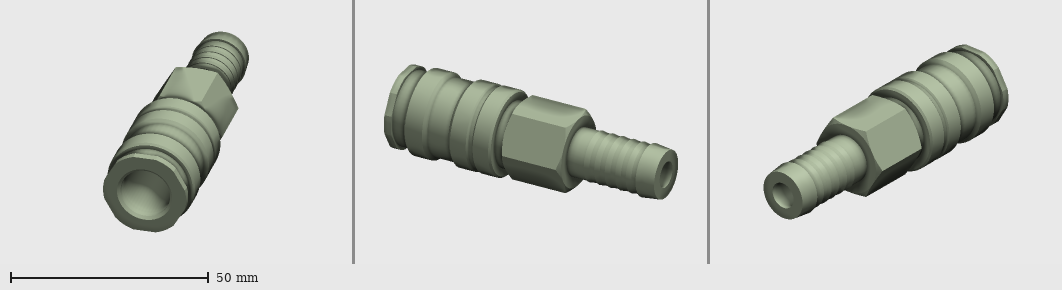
import cadquery as cq
import math


HEX_SIDES = 6

flange_length = 2.0
flange_radius = 10.9
flange_across_flats = 21.0

collar_radius = 10.0
collar_length = 3.85
band_radius = 11.5
band_chamfer = 0.5
waist_radius = 10.5
waist_length = 6.0
groove_radius = 11.0
groove_length = 1.0
front_band_length = 5.4
middle_band_length = 6.0
rear_band_length = 5.4
band_shoulder = band_radius - waist_radius
groove_chamfer = band_radius - groove_radius

neck_radius = 8.9
neck_length = 2.35

hex_across_flats = 19.0
hex_length = 17.0
hex_chamfer_angle = 30.0

tail_length = 25.0
tail_radius = 6.5
tip_barb_length = 5.0
tip_barb_radius = 7.1
ridge_count = 5
ridge_pitch = 3.0
ridge_length = 1.5
ridge_radius = 6.75

through_radius = 3.5
socket_radius = 6.5
socket_depth = 25.0
socket_chamfer = 0.75

collar_end = flange_length + collar_length
front_band_end = collar_end + front_band_length + band_shoulder
waist_end = front_band_end + waist_length
middle_band_end = waist_end + middle_band_length
groove_end = middle_band_end + groove_length
sleeve_end = groove_end + rear_band_length
hex_start = sleeve_end + neck_length
hex_end = hex_start + hex_length
total_length = hex_end + tail_length


def revolve_profile(points):
    """Revolve (radius, y) points, closed along the axis, around Y."""
    on_negative_x = [(-radius, y) for radius, y in points]
    profile = cq.Workplane("XY").polyline(on_negative_x).close()
    return profile.revolve(360, (0, 0, 0), (0, 1, 0))


def cylinder(radius, start, end):
    """Solid cylinder along Y between two stations."""
    return revolve_profile([(0, start), (radius, start), (radius, end), (0, end)])


def across_corners(across_flats):
    """Corner-to-corner size of a regular hexagon."""
    return across_flats / math.cos(math.pi / HEX_SIDES)


def hex_prism(across_flats, start, end):
    """Hexagonal prism along Y with two corners on the X axis."""
    plane = cq.Plane(origin=(0, start, 0), xDir=(1, 0, 0), normal=(0, 1, 0))
    return cq.Workplane(plane).polygon(HEX_SIDES, across_corners(across_flats)).extrude(end - start)


def make_flange():
    """Mouth flange with six flats and rounded corners."""
    disc = cylinder(flange_radius, 0, flange_length)
    return disc.intersect(hex_prism(flange_across_flats, 0, flange_length))


def make_sleeve():
    """Turned collar, locking sleeve and neck in one profile."""
    return revolve_profile([
        (0, flange_length),
        (collar_radius, flange_length),
        (collar_radius, collar_end),
        (band_radius - band_chamfer, collar_end),
        (band_radius, collar_end + band_chamfer),
        (band_radius, front_band_end - band_shoulder),
        (waist_radius, front_band_end),
        (waist_radius, waist_end),
        (band_radius, waist_end + band_shoulder),
        (band_radius, middle_band_end - groove_chamfer),
        (groove_radius, middle_band_end),
        (groove_radius, groove_end),
        (band_radius, groove_end + groove_chamfer),
        (band_radius, sleeve_end - band_chamfer),
        (band_radius - band_chamfer, sleeve_end),
        (neck_radius, sleeve_end),
        (neck_radius, hex_start),
        (0, hex_start),
    ])


def make_hexagon():
    """Hexagon with both ends turned to a cone that starts at the flats."""
    flat_radius = hex_across_flats / 2
    corner_radius = across_corners(hex_across_flats) / 2
    chamfer_length = (corner_radius - flat_radius) * math.tan(math.radians(hex_chamfer_angle))
    envelope = revolve_profile([
        (0, hex_start),
        (flat_radius, hex_start),
        (corner_radius, hex_start + chamfer_length),
        (corner_radius, hex_end - chamfer_length),
        (flat_radius, hex_end),
        (0, hex_end),
    ])
    return hex_prism(hex_across_flats, hex_start, hex_end).intersect(envelope)


def make_tail():
    """Hose tail: plain shank, tapered ridges, and a larger barb at the tip."""
    barb_base = total_length - tip_barb_length
    first_ridge = barb_base - ridge_count * ridge_pitch
    points = [(0, hex_end), (tail_radius, hex_end)]
    for index in range(ridge_count):
        ridge_base = first_ridge + index * ridge_pitch
        points += [
            (tail_radius, ridge_base),
            (ridge_radius, ridge_base),
            (tail_radius, ridge_base + ridge_length),
        ]
    points += [
        (tail_radius, barb_base),
        (tip_barb_radius, barb_base),
        (tail_radius, total_length),
        (0, total_length),
    ]
    return revolve_profile(points)


def make_bore():
    """Chamfered socket bore that steps down to the through passage."""
    return revolve_profile([
        (0, 0),
        (socket_radius + socket_chamfer, 0),
        (socket_radius, socket_chamfer),
        (socket_radius, socket_depth),
        (through_radius, socket_depth),
        (through_radius, total_length),
        (0, total_length),
    ])


body = make_flange().union(make_sleeve()).union(make_hexagon()).union(make_tail())
result = body.cut(make_bore())